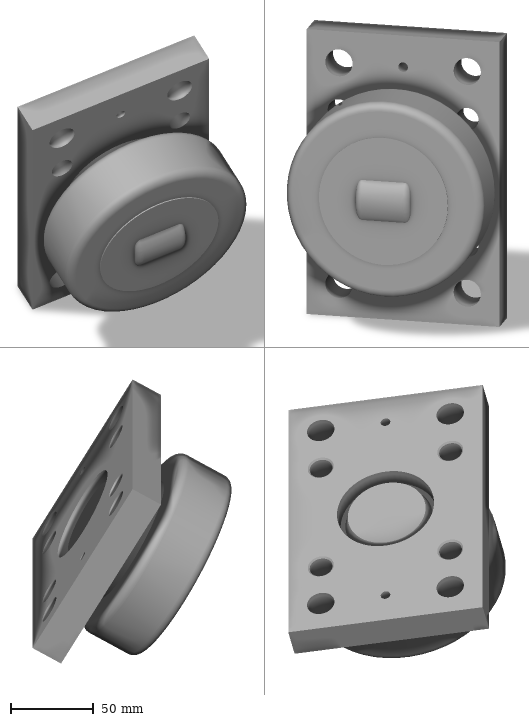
import cadquery as cq

PLATE_HEIGHT = 180.0
PLATE_WIDTH = 120.0
PLATE_THICKNESS = 20.0

HOLE_Y = 40.0
OUTER_ROW_Z = 70.0
INNER_ROW_Z = HOLE_Y
MOUNTING_DIAMETER = 17.0
PIN_DIAMETER = 6.0
COUNTERSUNK_DIAMETER = 14.0
COUNTERSINK_MOUTH_DIAMETER = 16.0
COUNTERSINK_ANGLE = 90

RECESS_DIAMETER = 60.0
RECESS_DEPTH = 11.5
AXLE_BASE_DIAMETER = 54.0
AXLE_TIP_DIAMETER = 48.0
AXLE_END_HEIGHT = 7.7

HUB_DIAMETER = 80.3
HUB_FACE_X = 71.5
WHEEL_DIAMETER = 123.0
WHEEL_BACK_X = 33.8
WHEEL_WIDTH = 36.9
WHEEL_FILLET = 5.0

ROLLER_TOP_X = 76.0
ROLLER_LENGTH = 34.0
ROLLER_RADIUS = 20.0
ROLLER_FILLET = 4.0


def disc(diameter, start_x, length):
    """Solid disc centred on the X axis."""
    return cq.Workplane("YZ").workplane(offset=start_x).circle(diameter / 2).extrude(length)


def back_face_points(plate, y_positions, row_z):
    """Hole centres on the back face, in a row above and a row below the middle."""
    points = [(y, z) for y in y_positions for z in (-row_z, row_z)]
    return plate.faces("<X").workplane(origin=(0, 0, 0)).pushPoints(points)


def make_plate():
    both_sides = (-HOLE_Y, HOLE_Y)
    middle = (0,)
    plate = cq.Workplane("YZ").rect(PLATE_WIDTH, PLATE_HEIGHT).extrude(PLATE_THICKNESS)
    plate = back_face_points(plate, both_sides, OUTER_ROW_Z).hole(MOUNTING_DIAMETER)
    plate = back_face_points(plate, middle, OUTER_ROW_Z).hole(PIN_DIAMETER)
    plate = back_face_points(plate, both_sides, INNER_ROW_Z).cskHole(
        COUNTERSUNK_DIAMETER, COUNTERSINK_MOUTH_DIAMETER, COUNTERSINK_ANGLE
    )
    return plate.cut(disc(RECESS_DIAMETER, 0, RECESS_DEPTH))


def make_axle_end():
    cone = cq.Solid.makeCone(
        AXLE_BASE_DIAMETER / 2,
        AXLE_TIP_DIAMETER / 2,
        AXLE_END_HEIGHT,
        pnt=cq.Vector(RECESS_DEPTH, 0, 0),
        dir=cq.Vector(-1, 0, 0),
    )
    return cq.Workplane(cone)


def make_hub():
    return disc(HUB_DIAMETER, PLATE_THICKNESS, HUB_FACE_X - PLATE_THICKNESS)


def make_wheel():
    wheel = disc(WHEEL_DIAMETER, WHEEL_BACK_X, WHEEL_WIDTH)
    return wheel.edges("%CIRCLE").fillet(WHEEL_FILLET)


def make_roller():
    axis_x = ROLLER_TOP_X - ROLLER_RADIUS
    outline = cq.Workplane("XZ").center(axis_x, 0).circle(ROLLER_RADIUS)
    roller = outline.extrude(ROLLER_LENGTH / 2, both=True)
    return roller.edges("%CIRCLE").fillet(ROLLER_FILLET)


result = (
    make_plate()
    .union(make_axle_end())
    .union(make_hub())
    .union(make_wheel())
    .union(make_roller())
)